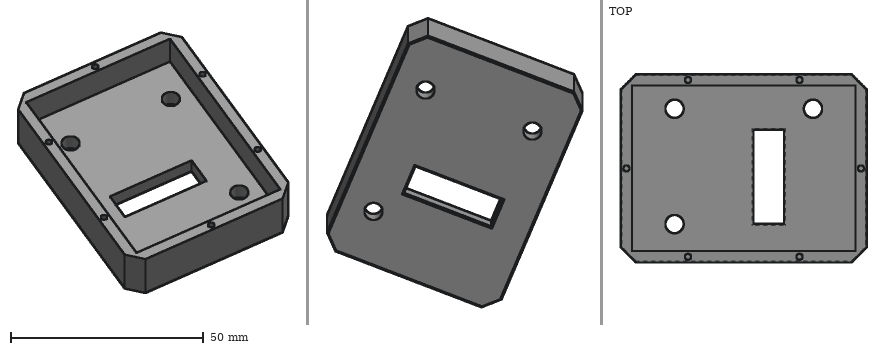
import cadquery as cq

length = 64.0
width = 49.0
height = 14.4

corner_cut = 4.0
bottom_bevel = 0.4

cavity_length = 58.0
cavity_width = 43.0
floor_thickness = 5.0
cavity_depth = height - floor_thickness

rim_hole_diameter = 1.6
rim_hole_depth = 8.0
rim_hole_spacing = 29.0
rim_hole_x = (length + cavity_length) / 4
rim_hole_y = (width + cavity_width) / 4

floor_hole_diameter = 4.7
floor_hole_spacing_x = 36.0
floor_hole_spacing_y = 30.0
floor_hole_center_y = 0.5

window_length = 7.85
window_width = 24.4
window_x = 6.48
window_y = -2.2


def corner_cut_outline(outline_length, outline_width):
    """Centered rectangle with cut corners; the cuts start at fixed X and Y positions near the corners."""
    half_x = outline_length / 2
    half_y = outline_width / 2
    cut_x = length / 2 - corner_cut
    cut_y = width / 2 - corner_cut
    return [
        (cut_x, half_y),
        (half_x, cut_y),
        (half_x, -cut_y),
        (cut_x, -half_y),
        (-cut_x, -half_y),
        (-half_x, -cut_y),
        (-half_x, cut_y),
        (-cut_x, half_y),
    ]


def make_body():
    """Block with cut corners, narrowing over a short bevel to a slightly smaller underside."""
    outline = corner_cut_outline(length, width)
    underside_outline = corner_cut_outline(length - 2 * bottom_bevel, width - 2 * bottom_bevel)
    bevel = (
        cq.Workplane("XY")
        .polyline(underside_outline)
        .close()
        .workplane(offset=bottom_bevel)
        .polyline(outline)
        .close()
        .loft(ruled=True)
    )
    block = (
        cq.Workplane("XY", origin=(0, 0, bottom_bevel))
        .polyline(outline)
        .close()
        .extrude(height - bottom_bevel)
    )
    return block.union(bevel)


def make_cavity():
    """Rectangular pocket that leaves the floor below it."""
    return (
        cq.Workplane("XY", origin=(0, 0, floor_thickness))
        .rect(cavity_length, cavity_width)
        .extrude(cavity_depth)
    )


def make_rim_holes():
    """Blind holes centered in the wall: two on each long side, one on each short side."""
    half_spacing = rim_hole_spacing / 2
    centers = []
    for side in (-1, 1):
        centers.append((-half_spacing, side * rim_hole_y))
        centers.append((half_spacing, side * rim_hole_y))
        centers.append((side * rim_hole_x, 0))
    return (
        cq.Workplane("XY", origin=(0, 0, height))
        .pushPoints(centers)
        .circle(rim_hole_diameter / 2)
        .extrude(-rim_hole_depth)
    )


def make_floor_holes():
    """Three through holes on the corners of a rectangle; the +X, -Y corner has none."""
    left = -floor_hole_spacing_x / 2
    right = floor_hole_spacing_x / 2
    back = floor_hole_center_y + floor_hole_spacing_y / 2
    front = floor_hole_center_y - floor_hole_spacing_y / 2
    return (
        cq.Workplane("XY")
        .pushPoints([(left, back), (right, back), (left, front)])
        .circle(floor_hole_diameter / 2)
        .extrude(floor_thickness)
    )


def make_window():
    """Rectangular opening through the floor, flaring outward at the underside."""
    opening = (
        cq.Workplane("XY")
        .center(window_x, window_y)
        .rect(window_length, window_width)
        .extrude(floor_thickness)
    )
    flare = (
        cq.Workplane("XY")
        .center(window_x, window_y)
        .rect(window_length + 2 * bottom_bevel, window_width + 2 * bottom_bevel)
        .workplane(offset=bottom_bevel)
        .rect(window_length, window_width)
        .loft(ruled=True)
    )
    return opening.union(flare)


result = (
    make_body()
    .cut(make_cavity())
    .cut(make_rim_holes())
    .cut(make_floor_holes())
    .cut(make_window())
)